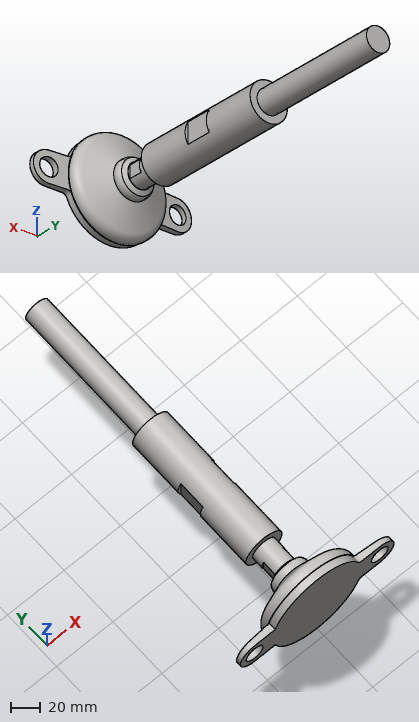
import cadquery as cq
import math

TOTAL_HEIGHT = 286.5

FOOT_RADIUS = 80.0 / 2
PAD_RADIUS = 39.3
PAD_HEIGHT = 6.3
RIM_TOP = 9.0
SHOULDER_RADIUS = 7.5
CONE_ANGLE = 23.2
NECK_RADIUS = 15.5
COLLAR_FLAT_TOP = 26.6
COLLAR_TOP = 33.0
COLLAR_TOP_RADIUS = 10.3
COLLAR_SHOULDER_RADIUS = 14.0
COLLAR_SHOULDER_HEIGHT = 31.0

LUG_SPAN = 136.0
LUG_RADIUS = 12.5
LUG_TIP_HEIGHT = 4.0
LUG_ROOT_HEIGHT = 6.0
LUG_HOLE_DIAMETER = 15.0
LUG_CENTRE = LUG_SPAN / 2 - LUG_RADIUS
LUG_FILLET = 4.3

ROD_RADIUS = 20.0 / 2
ROD_BOTTOM = 24.4
SLEEVE_RADIUS = 32.0 / 2
SLEEVE_BOTTOM = 54.5
SLEEVE_TOP = 170.2
SLEEVE_FLAT_LENGTH = 22.5
SLEEVE_FLAT_WIDTH = 27.2
ROD_FLAT_TOP = 45.0
ROD_FLAT_WIDTH = 17.2


def cylinder(radius, bottom, top):
    """Solid cylinder on the Y axis."""
    return cq.Workplane("XZ", origin=(0, bottom, 0)).circle(radius).extrude(bottom - top)


def make_bell():
    """Pad, rim, rounded shoulder, cone and rounded collar, revolved about Y."""
    slope = math.radians(CONE_ANGLE)
    middle = (math.pi / 2 - slope) / 2
    centre_x = FOOT_RADIUS - SHOULDER_RADIUS

    def shoulder_point(angle):
        return (
            centre_x + SHOULDER_RADIUS * math.cos(angle),
            RIM_TOP + SHOULDER_RADIUS * math.sin(angle),
        )

    cone_start = shoulder_point(2 * middle)
    cone_top = cone_start[1] + (cone_start[0] - NECK_RADIUS) * math.tan(slope)
    return (
        cq.Workplane("XY")
        .moveTo(0, 0)
        .lineTo(PAD_RADIUS, 0)
        .lineTo(PAD_RADIUS, PAD_HEIGHT)
        .lineTo(FOOT_RADIUS, PAD_HEIGHT)
        .lineTo(FOOT_RADIUS, RIM_TOP)
        .threePointArc(shoulder_point(middle), cone_start)
        .lineTo(NECK_RADIUS, cone_top)
        .lineTo(NECK_RADIUS, COLLAR_FLAT_TOP)
        .tangentArcPoint((COLLAR_SHOULDER_RADIUS, COLLAR_SHOULDER_HEIGHT), relative=False)
        .lineTo(COLLAR_TOP_RADIUS, COLLAR_TOP)
        .lineTo(0, COLLAR_TOP)
        .close()
        .revolve(360, (0, 0, 0), (0, 1, 0))
    )


def make_lug_wedge(side):
    """Sloping-topped block that the lug is cut from; side is +1 or -1 along X."""
    tip = side * LUG_SPAN / 2
    return (
        cq.Workplane("XY")
        .polyline([
            (0, 0),
            (tip, 0),
            (tip, LUG_TIP_HEIGHT),
            (side * PAD_RADIUS, LUG_ROOT_HEIGHT),
            (0, LUG_ROOT_HEIGHT),
        ])
        .close()
        .extrude(LUG_RADIUS + LUG_FILLET, both=True)
    )


def make_lug(side):
    """Round-ended lug with a sloping top; side is +1 or -1 along X."""
    end = cylinder(LUG_RADIUS, 0, PAD_HEIGHT).translate((side * LUG_CENTRE, 0, 0))
    bar = (
        cq.Workplane("XY")
        .box(LUG_CENTRE, PAD_HEIGHT, 2 * LUG_RADIUS)
        .translate((side * LUG_CENTRE / 2, PAD_HEIGHT / 2, 0))
    )
    return make_lug_wedge(side).intersect(bar.union(end))


def make_root_gusset(side):
    """Rounded corner between the pad and the +X lug; side is +1 or -1 along Z."""
    arc_x = math.sqrt((PAD_RADIUS + LUG_FILLET)**2 - (LUG_RADIUS + LUG_FILLET)**2)
    arc_z = LUG_RADIUS + LUG_FILLET
    pad_share = PAD_RADIUS / (PAD_RADIUS + LUG_FILLET)
    plan = (
        cq.Workplane("XZ")
        .moveTo(0, 0)
        .lineTo(arc_x * pad_share, side * arc_z * pad_share)
        .radiusArc((arc_x, side * LUG_RADIUS), -side * LUG_FILLET)
        .lineTo(arc_x, 0)
        .close()
        .extrude(-PAD_HEIGHT)
    )
    return plan.intersect(make_lug_wedge(1))


def make_foot():
    foot = make_bell()
    for side in (-1, 1):
        foot = foot.union(make_lug(side))
    for side in (-1, 1):
        foot = foot.union(make_root_gusset(side))
    for side in (-1, 1):
        hole = cylinder(LUG_HOLE_DIAMETER / 2, 0, PAD_HEIGHT)
        foot = foot.cut(hole.translate((side * LUG_CENTRE, 0, 0)))
    return foot


def cut_flats(body, width, bottom, top):
    """Cut a pair of wrench flats facing -X and +X."""
    depth = SLEEVE_RADIUS
    for side in (-1, 1):
        cutter = cq.Workplane("XY").box(depth, top - bottom, 2 * SLEEVE_RADIUS)
        offset = side * (width + depth) / 2
        body = body.cut(cutter.translate((offset, (top + bottom) / 2, 0)))
    return body


def make_stem():
    rod = cylinder(ROD_RADIUS, ROD_BOTTOM, TOTAL_HEIGHT)
    rod = cut_flats(rod, ROD_FLAT_WIDTH, COLLAR_TOP, ROD_FLAT_TOP)
    sleeve = cylinder(SLEEVE_RADIUS, SLEEVE_BOTTOM, SLEEVE_TOP)
    sleeve_middle = (SLEEVE_BOTTOM + SLEEVE_TOP) / 2
    half_flat = SLEEVE_FLAT_LENGTH / 2
    sleeve = cut_flats(sleeve, SLEEVE_FLAT_WIDTH, sleeve_middle - half_flat, sleeve_middle + half_flat)
    return rod.union(sleeve)


stem = make_stem()
foot = make_foot().cut(cylinder(ROD_RADIUS, ROD_BOTTOM, COLLAR_TOP))

result = cq.Compound.makeCompound([foot.solids().val(), stem.solids().val()])